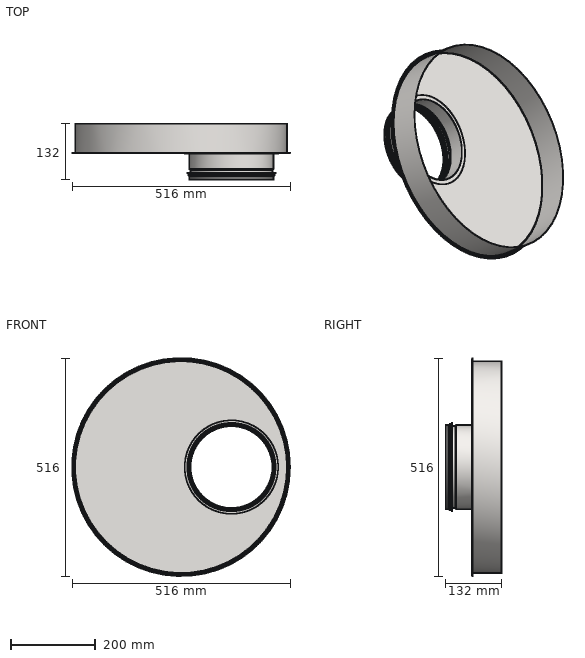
import cadquery as cq


SHEET = 0.5

DRUM_RADIUS = 501.5 / 2
DRUM_BORE_RADIUS = DRUM_RADIUS - SHEET
FLANGE_RADIUS = 258.0
FLANGE_FACE_RADIUS = 511.0 / 2
FLANGE_BACK = 68.5
FLANGE_THICKNESS = 1.5
FLANGE_EDGE = 0.5
FLANGE_FRONT = FLANGE_BACK + FLANGE_THICKNESS

PLATE_RADIUS = 503.5 / 2
PLATE_BACK = FLANGE_FRONT - SHEET

SPIGOT_OFFSET = 119.0
SPIGOT_RADIUS = 200.0 / 2
SPIGOT_BORE_RADIUS = SPIGOT_RADIUS - SHEET
SPIGOT_END = 132.0
SPIGOT_FLANGE_RADIUS = 221.0 / 2
SPIGOT_FLANGE_FRONT = FLANGE_FRONT + SHEET
GROOVE_RADIUS = 194.5 / 2
GROOVE_BORE_RADIUS = GROOVE_RADIUS - SHEET
GROOVE_START = SPIGOT_END - 25.5
GROOVE_TAPER = 3.0
MOUTH_LENGTH = 6.0
MOUTH_TAPER = 1.0
GROOVE_FLOOR_START = GROOVE_START + GROOVE_TAPER
MOUTH_START = SPIGOT_END - MOUTH_LENGTH
GROOVE_FLOOR_END = MOUTH_START - MOUTH_TAPER
MOUTH_BEVEL_LENGTH = 2.0
MOUTH_BEVEL_DEPTH = 0.25

SEAL_RADIUS = 198.0 / 2
REAR_LIP_RADIUS = 209.5 / 2
FRONT_LIP_RADIUS = 204.0 / 2
SEAL_START = SPIGOT_END - 15.5
LIP_THICKNESS = 1.0
LIP_GAP = 3.5
FRONT_LIP_SLOPE = 2.0
REAR_LIP_END = SEAL_START + LIP_THICKNESS
FRONT_LIP_START = REAR_LIP_END + LIP_GAP
FRONT_LIP_END = FRONT_LIP_START + LIP_THICKNESS


def revolve_profile(points, axis_x=0.0):
    """Revolve (radius, distance from the back) points about an axis parallel to Y."""
    outline = [(radius, -depth) for radius, depth in points]
    ring = cq.Workplane("XY").polyline(outline).close().revolve(360, (0, 0), (0, 1))
    return ring.translate((axis_x, 0, 0))


def make_drum():
    """Thin drum with a beveled outer flange, recessed in front for the end plate."""
    return revolve_profile([
        (DRUM_BORE_RADIUS, 0),
        (DRUM_RADIUS, 0),
        (DRUM_RADIUS, FLANGE_BACK),
        (FLANGE_RADIUS, FLANGE_BACK),
        (FLANGE_RADIUS, FLANGE_BACK + FLANGE_EDGE),
        (FLANGE_FACE_RADIUS, FLANGE_FRONT),
        (PLATE_RADIUS, FLANGE_FRONT),
        (PLATE_RADIUS, PLATE_BACK),
        (DRUM_BORE_RADIUS, PLATE_BACK),
    ])


def make_end_plate():
    """Flat disc with an off-centre hole as wide as the spigot bore."""
    face = cq.Workplane("XZ", origin=(0, -PLATE_BACK, 0))
    disc = face.circle(PLATE_RADIUS).extrude(SHEET)
    hole = face.center(SPIGOT_OFFSET, 0).circle(SPIGOT_BORE_RADIUS).extrude(SHEET)
    return disc.cut(hole)


def make_spigot():
    """Flanged sheet tube with a rolled seal groove near its mouth."""
    return revolve_profile([
        (SPIGOT_BORE_RADIUS, FLANGE_FRONT),
        (SPIGOT_FLANGE_RADIUS, FLANGE_FRONT),
        (SPIGOT_FLANGE_RADIUS, SPIGOT_FLANGE_FRONT),
        (SPIGOT_RADIUS, SPIGOT_FLANGE_FRONT),
        (SPIGOT_RADIUS, GROOVE_START),
        (GROOVE_RADIUS, GROOVE_FLOOR_START),
        (GROOVE_RADIUS, GROOVE_FLOOR_END),
        (SPIGOT_RADIUS, MOUTH_START),
        (SPIGOT_RADIUS, SPIGOT_END - MOUTH_BEVEL_LENGTH),
        (SPIGOT_RADIUS - MOUTH_BEVEL_DEPTH, SPIGOT_END),
        (SPIGOT_BORE_RADIUS, SPIGOT_END),
        (SPIGOT_BORE_RADIUS, MOUTH_START),
        (GROOVE_BORE_RADIUS, GROOVE_FLOOR_END),
        (GROOVE_BORE_RADIUS, GROOVE_FLOOR_START),
        (SPIGOT_BORE_RADIUS, GROOVE_START),
    ], SPIGOT_OFFSET)


def make_seal():
    """Ring in the groove with a straight rear lip and a sloped front lip."""
    return revolve_profile([
        (GROOVE_RADIUS, SEAL_START),
        (REAR_LIP_RADIUS, SEAL_START),
        (REAR_LIP_RADIUS, REAR_LIP_END),
        (SEAL_RADIUS, REAR_LIP_END),
        (SEAL_RADIUS, FRONT_LIP_START),
        (FRONT_LIP_RADIUS, FRONT_LIP_START),
        (FRONT_LIP_RADIUS, FRONT_LIP_END),
        (SEAL_RADIUS, FRONT_LIP_END + FRONT_LIP_SLOPE),
        (SEAL_RADIUS, GROOVE_FLOOR_END),
        (GROOVE_RADIUS, GROOVE_FLOOR_END),
    ], SPIGOT_OFFSET)


drum = make_drum()
end_plate = make_end_plate()
spigot = make_spigot()
seal = make_seal()

result = cq.Compound.makeCompound([drum.val(), end_plate.val(), spigot.val(), seal.val()])